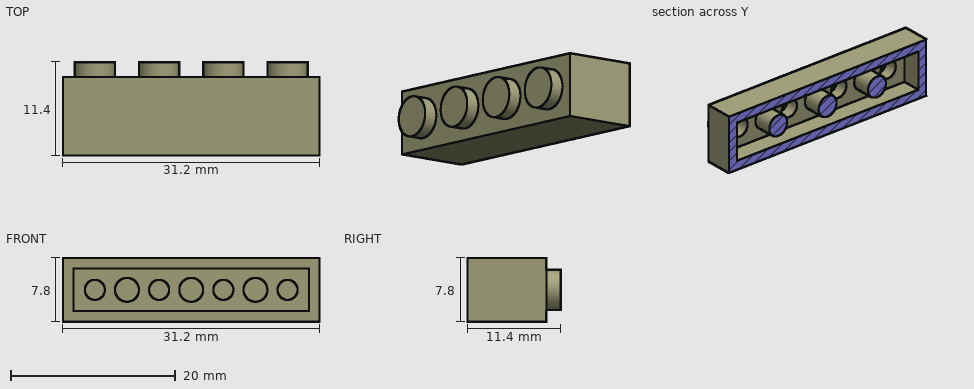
import cadquery as cq

length = 31.2
width = 7.8
body_height = 9.58
wall = 1.3
roof = wall

stud_count = 4
stud_pitch = length / stud_count
stud_diameter = 4.93
stud_height = 1.78
stud_hole_diameter = 2.43
stud_hole_depth = stud_height

pin_diameter = 2.9

cavity_depth = body_height - roof


def row_positions(count):
    """Centres of evenly pitched features, symmetric about the middle of the block."""
    return [((i - (count - 1) / 2) * stud_pitch, 0) for i in range(count)]


def box_from_opening(size_x, depth, size_z):
    """Centred block that runs from the open side at Y = 0 toward +Y."""
    return cq.Workplane("XZ").rect(size_x, size_z).extrude(-depth)


def cylinder_row(count, diameter, start_y, height):
    """Row of cylinders along X, each running toward +Y from start_y."""
    plane = cq.Workplane("XZ", origin=(0, start_y, 0))
    return plane.pushPoints(row_positions(count)).circle(diameter / 2).extrude(-height)


body = box_from_opening(length, body_height, width)
cavity = box_from_opening(length - 2 * wall, cavity_depth, width - 2 * wall)
studs = cylinder_row(stud_count, stud_diameter, body_height, stud_height)
stud_holes = cylinder_row(stud_count, stud_hole_diameter, cavity_depth, stud_hole_depth)
pins = cylinder_row(stud_count - 1, pin_diameter, 0, cavity_depth)

result = body.cut(cavity).union(studs).cut(stud_holes).union(pins)